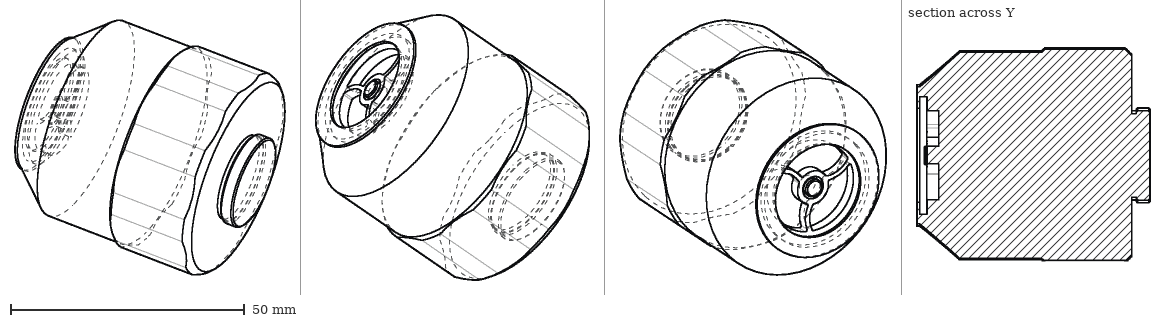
import cadquery as cq
import math


nose_radius = 15.1
nose_rim_end = 0.6
cone_end = 9.2
barrel_radius = 22.35

grip_start = 26.7
grip_end = 46.0
grip_radius = 23.05
flat_distance = 22.5
flat_count = 9
grip_front_chamfer = grip_radius - barrel_radius
grip_rear_chamfer = 1.5

neck_radius = 9.6
flange_start = 46.9
flange_radius = 10.2
flange_chamfer = 0.35
total_length = 49.9

mouth_radius = 10.55
lip_thickness = 0.65
cavity_radius = 12.95
hub_face = 2.15
pocket_outer_radius = 10.05
hub_radius = 3.85
pocket_depth = 2.5
pocket_floor = hub_face + pocket_depth
pocket_corner_radius = 0.4
spoke_count = 3
spoke_arc_y = -5.2
spoke_arc_z = -7.0
spoke_inner_radius = 6.05
spoke_width = 1.05
spoke_hub_angle = 45
spoke_rim_angle = -35

pin_radius = 2.0
pin_chamfer = 0.3
pin_protrusion = 0.6
countersink = 0.55


def disc(radius, start, end):
    """Solid cylinder about the X axis between two X positions."""
    return cq.Workplane("YZ", origin=(start, 0, 0)).circle(radius).extrude(end - start)


def make_turned_body():
    return (
        cq.Workplane("XY")
        .moveTo(0, 0)
        .lineTo(0, nose_radius)
        .lineTo(nose_rim_end, nose_radius)
        .lineTo(cone_end, barrel_radius)
        .lineTo(grip_start, barrel_radius)
        .lineTo(grip_start + grip_front_chamfer, grip_radius)
        .lineTo(grip_end - grip_rear_chamfer, grip_radius)
        .lineTo(grip_end, grip_radius - grip_rear_chamfer)
        .lineTo(grip_end, neck_radius)
        .lineTo(flange_start, neck_radius)
        .lineTo(flange_start, flange_radius - flange_chamfer)
        .lineTo(flange_start + flange_chamfer, flange_radius)
        .lineTo(total_length - flange_chamfer, flange_radius)
        .lineTo(total_length, flange_radius - flange_chamfer)
        .lineTo(total_length, 0)
        .close()
        .revolve(360, (0, 0, 0), (1, 0, 0))
    )


def make_flat_cutter():
    """Ring around the grip whose nine-sided opening leaves the flats, one of them facing -Z."""
    corner_diameter = 2 * flat_distance / math.cos(math.pi / flat_count)
    cutter_radius = 2 * grip_radius
    corner_turn = 90
    return (
        cq.Workplane("YZ", origin=(grip_start, 0, 0))
        .circle(cutter_radius)
        .extrude(grip_end - grip_start)
        .cut(
            cq.Workplane("YZ", origin=(grip_start, 0, 0))
            .transformed(rotate=(0, 0, corner_turn))
            .polygon(flat_count, corner_diameter)
            .extrude(grip_end - grip_start)
        )
    )


def spoke_point(radius, angle):
    """Point (y, z) on an arc about the centre of the lowest spoke's curve."""
    turn = math.radians(angle)
    return spoke_arc_y + radius * math.cos(turn), spoke_arc_z + radius * math.sin(turn)


def make_spoke(index):
    """Curved band that runs from inside the hub to beyond the pockets' outer wall."""
    outer_radius = spoke_inner_radius + spoke_width
    middle_angle = (spoke_hub_angle + spoke_rim_angle) / 2
    return (
        cq.Workplane("YZ", origin=(hub_face, 0, 0))
        .moveTo(*spoke_point(spoke_inner_radius, spoke_hub_angle))
        .threePointArc(
            spoke_point(spoke_inner_radius, middle_angle),
            spoke_point(spoke_inner_radius, spoke_rim_angle),
        )
        .lineTo(*spoke_point(outer_radius, spoke_rim_angle))
        .threePointArc(
            spoke_point(outer_radius, middle_angle),
            spoke_point(outer_radius, spoke_hub_angle),
        )
        .close()
        .extrude(pocket_depth)
        .rotate((0, 0, 0), (1, 0, 0), index * 360 / spoke_count)
    )


def make_pockets():
    """Cutting volume of the pockets between hub, spokes and outer wall."""
    pockets = disc(pocket_outer_radius, hub_face, pocket_floor)
    pockets = pockets.cut(disc(hub_radius, hub_face, pocket_floor))
    for index in range(spoke_count):
        pockets = pockets.cut(make_spoke(index))
    return pockets.edges("|X").fillet(pocket_corner_radius)


def make_pin_hole():
    """Blind hole down to the pocket floor, with a 45 degree countersink."""
    return (
        cq.Workplane("XY")
        .moveTo(hub_face, 0)
        .lineTo(hub_face, pin_radius + countersink)
        .lineTo(hub_face + countersink, pin_radius)
        .lineTo(pocket_floor, pin_radius)
        .lineTo(pocket_floor, 0)
        .close()
        .revolve(360, (0, 0, 0), (1, 0, 0))
    )


def make_housing():
    return (
        make_turned_body()
        .cut(make_flat_cutter())
        .cut(disc(mouth_radius, 0, lip_thickness))
        .cut(disc(cavity_radius, lip_thickness, hub_face))
        .cut(make_pockets())
        .cut(make_pin_hole())
    )


def make_pin():
    return disc(pin_radius, hub_face - pin_protrusion, pocket_floor).faces("<X").chamfer(pin_chamfer)


housing = make_housing()
pin = make_pin()

result = cq.Compound.makeCompound([housing.val(), pin.val()])